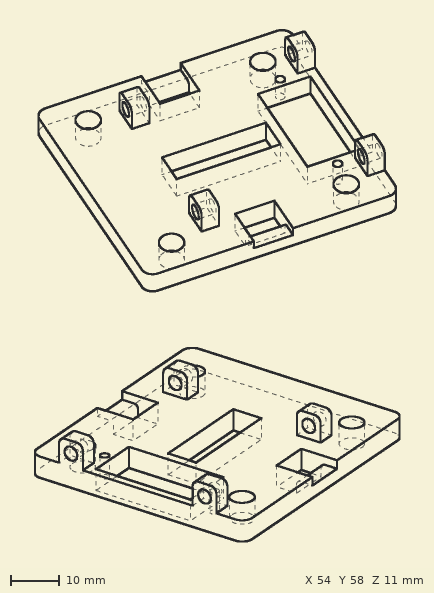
import cadquery as cq

plate_width = 54.0
plate_length = 58.0
plate_thickness = 5.0
corner_radius = 2.5
total_height = 11.0

mount_spacing = 40.0
mount_diameter = 5.3

servo_width = 23.7
servo_length = 12.0
servo_center_y = 21.0
screw_diameter = 2.0
screw_spacing = 27.6
screw_y = 21.0

slot_width = 7.0
slot_length = 23.8
slot_center_y = 0.9

strap_length = 9.0
strap_depth = 9.0
strap_bar_width = 4.0
strap_bar_drop = 2.0
strap_bar_radius = 1.0

lug_width = 6.0
lug_thickness = 4.0
lug_height = total_height - plate_thickness
lug_radius = 1.5
lug_spacing = 33.5
lug_hole_diameter = 3.2
lug_pair_pitch = 38.0
rear_lug_y = (plate_length - lug_thickness) / 2
front_lug_y = rear_lug_y - lug_pair_pitch


def block(width, length, height, x, y, z):
    """Box centred at (x, y), rising from height z."""
    return cq.Workplane("XY").box(width, length, height, (True, True, False)).translate((x, y, z))


def window(width, length, x, y):
    """Rectangular cutter through the whole plate."""
    return block(width, length, plate_thickness, x, y, 0)


def holes(diameter, points):
    """Round cutters through the whole plate."""
    return cq.Workplane("XY").pushPoints(points).circle(diameter / 2).extrude(plate_thickness)


def strap_bar(side):
    """Lowered bar along the plate edge, rounded on its inner top edge."""
    x = side * (plate_width - strap_bar_width) / 2
    height = plate_thickness - strap_bar_drop
    bar = block(strap_bar_width, strap_length, height, x, 0, 0)
    inner_edge = "<X" if side > 0 else ">X"
    return bar.faces(">Z").edges(inner_edge).fillet(strap_bar_radius)


def lug(x, y):
    """Upright lug with rounded top corners and a pin hole."""
    body = block(lug_width, lug_thickness, lug_height, x, y, plate_thickness)
    body = body.faces(">Z").edges("|Y").fillet(lug_radius)
    pin = (
        cq.Workplane("XZ", origin=(x, y, plate_thickness + lug_height / 2))
        .circle(lug_hole_diameter / 2)
        .extrude(lug_thickness / 2, both=True)
    )
    return body.cut(pin)


result = block(plate_width, plate_length, plate_thickness, 0, 0, 0).edges("|Z").fillet(corner_radius)
mount_points = [(x * mount_spacing / 2, y * mount_spacing / 2) for x in (-1, 1) for y in (-1, 1)]
result = result.cut(holes(mount_diameter, mount_points))
result = result.cut(holes(screw_diameter, [(side * screw_spacing / 2, screw_y) for side in (-1, 1)]))
result = result.cut(window(servo_width, servo_length, 0, servo_center_y))
result = result.cut(window(slot_width, slot_length, 0, slot_center_y))

for side in (-1, 1):
    strap_x = side * (plate_width - strap_depth) / 2
    result = result.cut(window(strap_depth, strap_length, strap_x, 0))
    result = result.union(strap_bar(side))
    for lug_y in (front_lug_y, rear_lug_y):
        result = result.union(lug(side * lug_spacing / 2, lug_y))